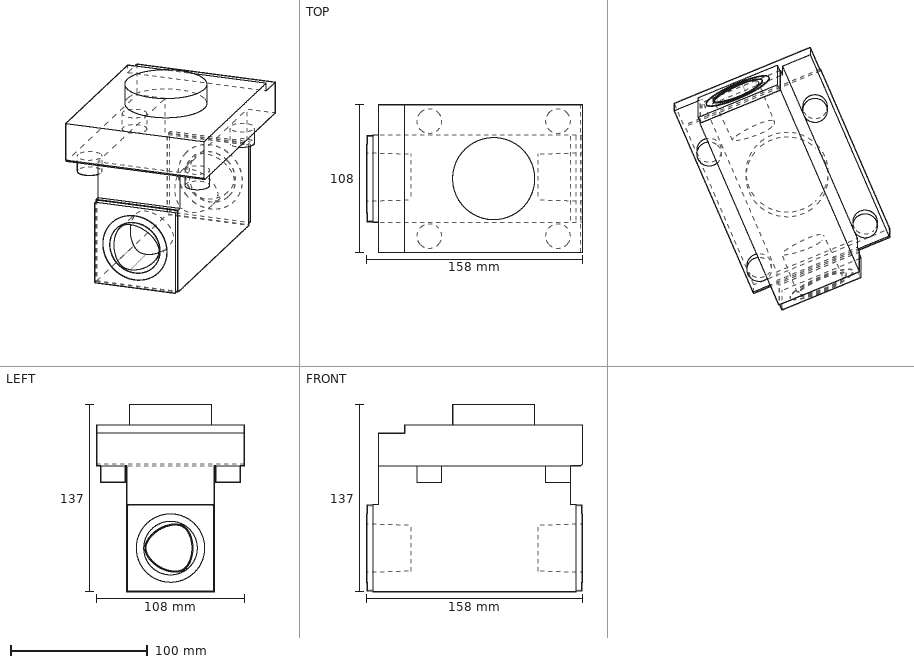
import cadquery as cq
import math

body_width = 64.0
foot_length = 148.0
foot_height = 64.0
upper_length = 140.5
cover_bottom = 92.0

plate_inset = 0.5
plate_end = 78.5
plate_corner_radius = 0.8
plate_size = body_width - 2 * plate_inset
port_height = foot_height / 2

ring_height = 0.5
ring_outer_diameter = 50.01
ring_inner_diameter = 39.2

socket_mean_radius = 17.6
lobe_eccentricity = 1.15
lobe_count = 3
socket_depth = 32.0
diameter_taper = 1 / 20
segment_points = 7

cover_left = -upper_length / 2
cover_right = plate_end + ring_height
cover_width = 108.0
cover_top = 122.0
step_x = -51.0
step_level = 116.0
cover_chamfer = 1.5

knob_diameter = 60.0
knob_height = 15.0
knob_x = 14.0

pin_diameter = 18.0
pin_length = 12.0
pin_x_positions = (-33.0, 61.0)
pin_y = 42.0


def make_body():
    foot = cq.Workplane("XY").box(foot_length, body_width, foot_height, centered=(True, True, False))
    upper = cq.Workplane("XY").box(upper_length, body_width, cover_bottom, centered=(True, True, False))
    return foot.union(upper)


def make_cover():
    cover = (
        cq.Workplane("XZ")
        .moveTo(cover_left, cover_bottom)
        .lineTo(cover_right, cover_bottom)
        .lineTo(cover_right, cover_top)
        .lineTo(step_x, cover_top)
        .lineTo(step_x, step_level)
        .lineTo(cover_left, step_level)
        .close()
        .extrude(cover_width / 2, both=True)
    )
    return cover.edges("|Y and >X and <Z").chamfer(cover_chamfer)


def make_knob():
    return (
        cq.Workplane("XY", origin=(knob_x, 0, cover_top))
        .circle(knob_diameter / 2)
        .extrude(knob_height)
    )


def make_pins():
    centers = [(x, y) for x in pin_x_positions for y in (-pin_y, pin_y)]
    return (
        cq.Workplane("XY", origin=(0, 0, cover_bottom))
        .pushPoints(centers)
        .circle(pin_diameter / 2)
        .extrude(-pin_length)
    )


def lobed_point(mean_radius, normal_angle):
    """Point and tangent of the outline where its outward normal has the given angle from +Y."""
    reach = mean_radius + lobe_eccentricity * math.cos(lobe_count * normal_angle)
    slope = -lobe_count * lobe_eccentricity * math.sin(lobe_count * normal_angle)
    y = reach * math.cos(normal_angle) - slope * math.sin(normal_angle)
    z = reach * math.sin(normal_angle) + slope * math.cos(normal_angle)
    return cq.Vector(y, z), cq.Vector(-math.sin(normal_angle), math.cos(normal_angle))


def lobed_wire(mean_radius, x):
    """Closed outline in a plane of constant X, one curve for each lobe and each flank."""
    plane = cq.Plane.YZ(origin=(x, 0, port_height))
    sweep = math.pi / lobe_count
    edges = []
    for segment in range(2 * lobe_count):
        start = (segment - 0.5) * sweep
        angles = [start + sweep * i / (segment_points - 1) for i in range(segment_points)]
        samples = [lobed_point(mean_radius, angle) for angle in angles]
        points = [plane.toWorldCoords((point.x, point.y)) for point, _ in samples]
        tangents = [plane.xDir * tangent.x + plane.yDir * tangent.y for _, tangent in samples]
        edges.append(cq.Edge.makeSpline(points, tangents=[tangents[0], tangents[-1]]))
    return cq.Wire.assembleEdges(edges)


def make_socket():
    """Socket cutter, opening at the -X end plate and narrowing inward."""
    floor_radius = socket_mean_radius - socket_depth * diameter_taper / 2
    mouth = lobed_wire(socket_mean_radius, -plate_end)
    floor = lobed_wire(floor_radius, -plate_end + socket_depth)
    return cq.Workplane(cq.Solid.makeLoft([mouth, floor], True))


def make_end_plate():
    """End plate and sealing ring at the -X end."""
    plate = (
        cq.Workplane("YZ", origin=(-plate_end, 0, port_height))
        .rect(plate_size, plate_size)
        .extrude(plate_end - foot_length / 2)
        .edges("|X")
        .fillet(plate_corner_radius)
    )
    ring = (
        cq.Workplane("YZ", origin=(-plate_end, 0, port_height))
        .circle(ring_outer_diameter / 2)
        .circle(ring_inner_diameter / 2)
        .extrude(-ring_height)
    )
    return plate.union(ring)


end_plate = make_end_plate()
socket = make_socket()

result = make_body().union(make_cover()).union(make_knob()).union(make_pins())
result = result.union(end_plate).union(end_plate.mirror("YZ"))
result = result.cut(socket).cut(socket.mirror("YZ"))